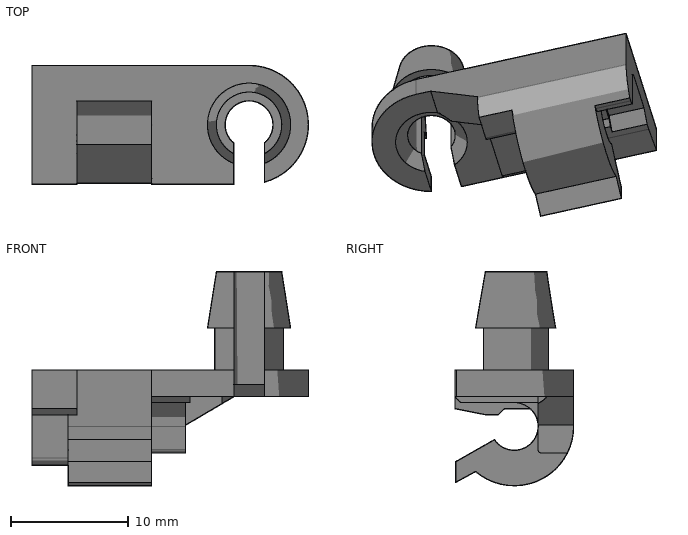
import cadquery as cq
import math

LENGTH = 23.62
WIDTH = 10.16
HALF_WIDTH = WIDTH / 2
PLATE_THICKNESS = 2.286

CLIP_AXIS_Z = -4.826
ROD_RADIUS = 2.032
CLIP_START_X = 3.09
CLIP_END_X = 10.23
JAW_END_Y = -5.01
JAW_END_TOP_Z = -7.84
JAW_END_BOTTOM_Z = -9.62
JAW_TIP_Y = -1.69
JAW_ROOT_Y = -3.3

LIP_END_X = 3.83
LIP_EDGE_Z = -3.32
LIP_LOW_Z = -3.84
LIP_LOW_Y = -2.47

CLIP_CEILING_Z = -3.33
END_CEILING_Z = -2.81
CLIP_RAMP_TOP_Y = -0.86
END_RAMP_TOP_Y = -0.9

END_WALL_INNER_Y = 2.91
END_WALL_BOTTOM_Z = -8.15
END_WALL_TIP_RADIUS = 0.62
END_CORNER_CHAMFER = 0.36

BACK_WALL_END_X = 13.13
BACK_WALL_BOTTOM_Z = -7.11
BACK_WALL_EDGE_RADIUS = 0.3
THICK_STRIP_END_X = 13.5
GUSSET_HIGH_X = 17.26
GUSSET_LOW_Z = -4.72

STUD_X = LENGTH - HALF_WIDTH
STUD_RADIUS = 2.946
BARB_BASE_Z = 3.556
BARB_BASE_RADIUS = 3.556
BARB_TOP_Z = 8.382
BARB_TOP_RADIUS = 2.794
BORE_RADIUS = 2.032
COUNTERSINK_DEPTH = 1.03
SLOT_WIDTH = 2.6

OUTSIDE_Y = -WIDTH
BELOW_Z = 2 * JAW_END_BOTTOM_Z


def half_chord(radius, offset):
    """Half the length of a circle's chord at an offset from its centre."""
    return math.sqrt(radius**2 - offset**2)


def along_x(sketch, start_x, end_x):
    """Extrude a closed YZ profile between two X positions."""
    return sketch.extrude(end_x - start_x).translate((start_x, 0, 0))


def box_between(x_range, y_range, z_range):
    """Box spanning the given ranges."""
    sizes = [high - low for low, high in (x_range, y_range, z_range)]
    corner = (x_range[0], y_range[0], z_range[0])
    return cq.Workplane("XY").box(*sizes, centered=False).translate(corner)


def outer_block(start_x, end_x):
    """Block with a flat top and a half-round underside about the clip axis."""
    profile = (
        cq.Workplane("YZ")
        .moveTo(-HALF_WIDTH, 0)
        .lineTo(HALF_WIDTH, 0)
        .lineTo(HALF_WIDTH, CLIP_AXIS_Z)
        .threePointArc((0, CLIP_AXIS_Z - HALF_WIDTH), (-HALF_WIDTH, CLIP_AXIS_Z))
        .close()
    )
    return along_x(profile, start_x, end_x)


def mouth_roof(ceiling_z, ramp_top_y):
    """Start a mouth profile with the lip's underside and the ramp up to the ceiling."""
    ramp_bottom_y = ramp_top_y - (ceiling_z - LIP_LOW_Z)
    return (
        cq.Workplane("YZ")
        .moveTo(OUTSIDE_Y, LIP_EDGE_Z)
        .lineTo(-HALF_WIDTH, LIP_EDGE_Z)
        .lineTo(LIP_LOW_Y, LIP_LOW_Z)
        .lineTo(ramp_bottom_y, LIP_LOW_Z)
        .lineTo(ramp_top_y, ceiling_z)
    )


def clip():
    """Lip, back and hooked lower jaw around the rod."""
    jaw_tip_z = CLIP_AXIS_Z - half_chord(ROD_RADIUS, JAW_TIP_Y)
    jaw_root_z = CLIP_AXIS_Z - half_chord(HALF_WIDTH, JAW_ROOT_Y)
    rod_reach = ROD_RADIUS * math.sqrt(0.5)
    mouth = (
        mouth_roof(CLIP_CEILING_Z, CLIP_RAMP_TOP_Y)
        .lineTo(ROD_RADIUS, CLIP_CEILING_Z)
        .lineTo(ROD_RADIUS, CLIP_AXIS_Z)
        .threePointArc((rod_reach, CLIP_AXIS_Z - rod_reach), (JAW_TIP_Y, jaw_tip_z))
        .lineTo(JAW_END_Y, JAW_END_TOP_Z)
        .lineTo(JAW_END_Y, BELOW_Z)
        .lineTo(OUTSIDE_Y, BELOW_Z)
        .close()
    )
    jaw = (
        cq.Workplane("YZ")
        .moveTo(JAW_TIP_Y, jaw_tip_z)
        .lineTo(JAW_END_Y, JAW_END_TOP_Z)
        .lineTo(JAW_END_Y, JAW_END_BOTTOM_Z)
        .lineTo(JAW_ROOT_Y, jaw_root_z)
        .close()
    )
    notch = box_between((LIP_END_X, CLIP_END_X), (-HALF_WIDTH, ROD_RADIUS), (CLIP_AXIS_Z, 0))
    body = outer_block(CLIP_START_X, CLIP_END_X)
    body = body.cut(along_x(mouth, CLIP_START_X, CLIP_END_X)).cut(notch)
    return body.union(along_x(jaw, CLIP_START_X, CLIP_END_X))


def end_wall():
    """Thin hook profile at the plate's end, with a rounded tip and a wider mouth."""
    tip_y = END_WALL_INNER_Y + END_WALL_TIP_RADIUS
    tip_z = END_WALL_BOTTOM_Z + END_WALL_TIP_RADIUS
    tip_reach = END_WALL_TIP_RADIUS * math.sqrt(0.5)
    mouth = (
        mouth_roof(END_CEILING_Z, END_RAMP_TOP_Y)
        .lineTo(END_WALL_INNER_Y - END_CORNER_CHAMFER, END_CEILING_Z)
        .lineTo(END_WALL_INNER_Y, END_CEILING_Z - END_CORNER_CHAMFER)
        .lineTo(END_WALL_INNER_Y, tip_z)
        .threePointArc((tip_y - tip_reach, tip_z - tip_reach), (tip_y, END_WALL_BOTTOM_Z))
        .lineTo(HALF_WIDTH, END_WALL_BOTTOM_Z)
        .lineTo(HALF_WIDTH, BELOW_Z)
        .lineTo(OUTSIDE_Y, BELOW_Z)
        .close()
    )
    return outer_block(0, CLIP_START_X).cut(along_x(mouth, 0, CLIP_START_X))


def plate():
    """Flat plate from the clip to the round end under the stud."""
    straight = box_between(
        (CLIP_END_X, STUD_X), (-HALF_WIDTH, HALF_WIDTH), (-PLATE_THICKNESS, 0)
    )
    round_end = (
        cq.Workplane("XY").center(STUD_X, 0).circle(HALF_WIDTH).extrude(-PLATE_THICKNESS)
    )
    return straight.union(round_end)


def back_wall():
    """Wall continuing the clip's back, blended to the plate around the rod."""
    rod_top_z = CLIP_AXIS_Z + ROD_RADIUS
    rod_reach = ROD_RADIUS * math.sqrt(0.5)
    edge_reach = BACK_WALL_EDGE_RADIUS * (1 - math.sqrt(0.5))
    outer_bottom_y = half_chord(HALF_WIDTH, CLIP_AXIS_Z - BACK_WALL_BOTTOM_Z)
    middle_z = (CLIP_AXIS_Z + BACK_WALL_BOTTOM_Z) / 2
    outer_middle_y = half_chord(HALF_WIDTH, CLIP_AXIS_Z - middle_z)
    profile = (
        cq.Workplane("YZ")
        .moveTo(HALF_WIDTH, -PLATE_THICKNESS)
        .lineTo(0, -PLATE_THICKNESS)
        .lineTo(0, rod_top_z)
        .threePointArc((rod_reach, CLIP_AXIS_Z + rod_reach), (ROD_RADIUS, CLIP_AXIS_Z))
        .lineTo(ROD_RADIUS, BACK_WALL_BOTTOM_Z + BACK_WALL_EDGE_RADIUS)
        .threePointArc(
            (ROD_RADIUS + edge_reach, BACK_WALL_BOTTOM_Z + edge_reach),
            (ROD_RADIUS + BACK_WALL_EDGE_RADIUS, BACK_WALL_BOTTOM_Z),
        )
        .lineTo(outer_bottom_y, BACK_WALL_BOTTOM_Z)
        .threePointArc((outer_middle_y, middle_z), (HALF_WIDTH, CLIP_AXIS_Z))
        .close()
    )
    return along_x(profile, CLIP_END_X, BACK_WALL_END_X)


def thick_strip():
    """Thickening under the plate, level with the rod's top, with a 45 degree front edge."""
    rod_top_z = CLIP_AXIS_Z + ROD_RADIUS
    extra_thickness = -PLATE_THICKNESS - rod_top_z
    profile = (
        cq.Workplane("YZ")
        .moveTo(-HALF_WIDTH, -PLATE_THICKNESS)
        .lineTo(extra_thickness - HALF_WIDTH, rod_top_z)
        .lineTo(ROD_RADIUS, rod_top_z)
        .lineTo(ROD_RADIUS, -PLATE_THICKNESS)
        .close()
    )
    return along_x(profile, CLIP_END_X, THICK_STRIP_END_X)


def gusset():
    """Triangular brace from the back wall up to the plate."""
    return (
        cq.Workplane("XZ", origin=(0, HALF_WIDTH, 0))
        .moveTo(BACK_WALL_END_X, -PLATE_THICKNESS)
        .lineTo(GUSSET_HIGH_X, -PLATE_THICKNESS)
        .lineTo(BACK_WALL_END_X, GUSSET_LOW_Z)
        .close()
        .extrude(HALF_WIDTH - ROD_RADIUS)
    )


def stud():
    """Round post topped by a tapered barb."""
    return (
        cq.Workplane("XZ")
        .lineTo(STUD_RADIUS, 0)
        .lineTo(STUD_RADIUS, BARB_BASE_Z)
        .lineTo(BARB_BASE_RADIUS, BARB_BASE_Z)
        .lineTo(BARB_TOP_RADIUS, BARB_TOP_Z)
        .lineTo(0, BARB_TOP_Z)
        .close()
        .revolve(360, (0, 0), (0, 1))
        .translate((STUD_X, 0, 0))
    )


def stud_bore():
    """Through bore with a 45 degree countersink that continues as clearance below the plate."""
    countersink_radius = BORE_RADIUS + COUNTERSINK_DEPTH
    return (
        cq.Workplane("XZ")
        .moveTo(0, BARB_TOP_Z)
        .lineTo(BORE_RADIUS, BARB_TOP_Z)
        .lineTo(BORE_RADIUS, COUNTERSINK_DEPTH - PLATE_THICKNESS)
        .lineTo(countersink_radius, -PLATE_THICKNESS)
        .lineTo(countersink_radius, GUSSET_LOW_Z)
        .lineTo(0, GUSSET_LOW_Z)
        .close()
        .revolve(360, (0, 0), (0, 1))
        .translate((STUD_X, 0, 0))
    )


def stud_slot():
    """Slot opening the bore to the -Y side through the stud and the plate."""
    half_slot = SLOT_WIDTH / 2
    return box_between(
        (STUD_X - half_slot, STUD_X + half_slot),
        (-HALF_WIDTH, 0),
        (-PLATE_THICKNESS, BARB_TOP_Z),
    )


body = clip().union(end_wall()).union(plate())
body = body.union(thick_strip()).union(back_wall()).union(gusset()).union(stud())
result = body.cut(stud_bore()).cut(stud_slot())